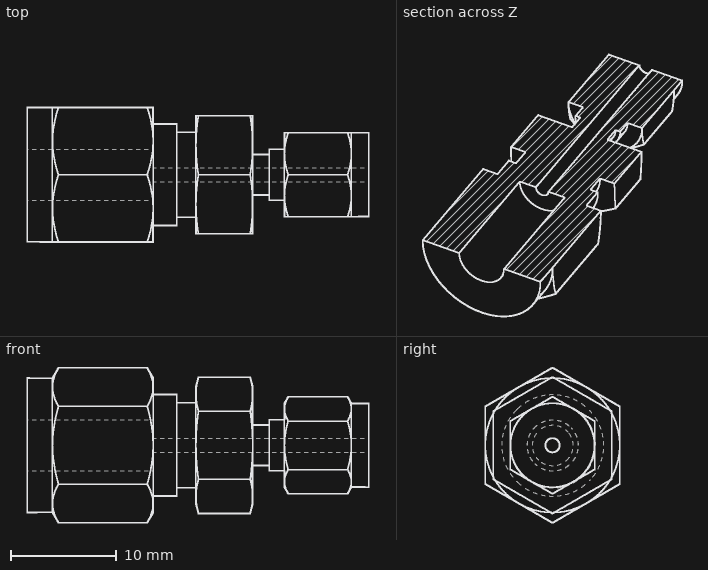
import cadquery as cq
import math


length = 32.25
large_nut_start = 2.4
large_nut_end = 11.9
large_sleeve_end = 14.13
body_hex_start = 15.93
body_hex_end = 21.3
small_neck_end = 22.83
small_nut_start = 24.3
small_nut_end = 30.6

hex_half_angle = 30.0

large_nut_flats = 12.7
body_hex_flats = 11.15
small_nut_flats = 7.93
nut_chamfer_angle = 30.0
body_chamfer_angle = 15.0

large_collar_diameter = large_nut_flats
large_sleeve_diameter = 9.6
large_neck_diameter = 8.05
small_neck_diameter = 3.85
small_sleeve_diameter = 4.85
small_collar_diameter = small_nut_flats

tube_bore_diameter = 4.8
tube_bore_depth = large_nut_end
through_bore_diameter = 1.32


def cylinder(start, end, diameter):
    """Round section along X."""
    return cq.Workplane("YZ", origin=(start, 0, 0)).circle(diameter / 2).extrude(end - start)


def chamfered_hex(start, end, flats, chamfer_angle):
    """Hexagon along X with flats facing Y, its corners turned off by a cone at both ends."""
    inner_radius = flats / 2
    corner_radius = inner_radius / math.cos(math.radians(hex_half_angle))
    chamfer_length = (corner_radius - inner_radius) * math.tan(math.radians(chamfer_angle))
    prism = (
        cq.Workplane("YZ", origin=(start, 0, 0))
        .polygon(6, 2 * corner_radius)
        .extrude(end - start)
        .rotate((0, 0, 0), (1, 0, 0), hex_half_angle)
    )
    turned_envelope = (
        cq.Workplane("XY")
        .moveTo(start, 0)
        .lineTo(start, inner_radius)
        .lineTo(start + chamfer_length, corner_radius)
        .lineTo(end - chamfer_length, corner_radius)
        .lineTo(end, inner_radius)
        .lineTo(end, 0)
        .close()
        .revolve(360, (0, 0, 0), (1, 0, 0))
    )
    return prism.intersect(turned_envelope)


sections = [
    cylinder(0, large_nut_start, large_collar_diameter),
    chamfered_hex(large_nut_start, large_nut_end, large_nut_flats, nut_chamfer_angle),
    cylinder(large_nut_end, large_sleeve_end, large_sleeve_diameter),
    cylinder(large_sleeve_end, body_hex_start, large_neck_diameter),
    chamfered_hex(body_hex_start, body_hex_end, body_hex_flats, body_chamfer_angle),
    cylinder(body_hex_end, small_neck_end, small_neck_diameter),
    cylinder(small_neck_end, small_nut_start, small_sleeve_diameter),
    chamfered_hex(small_nut_start, small_nut_end, small_nut_flats, nut_chamfer_angle),
    cylinder(small_nut_end, length, small_collar_diameter),
]

fitting = sections[0]
for section in sections[1:]:
    fitting = fitting.union(section)

tube_bore = cylinder(0, tube_bore_depth, tube_bore_diameter)
through_bore = cylinder(0, length, through_bore_diameter)

result = fitting.cut(tube_bore).cut(through_bore)